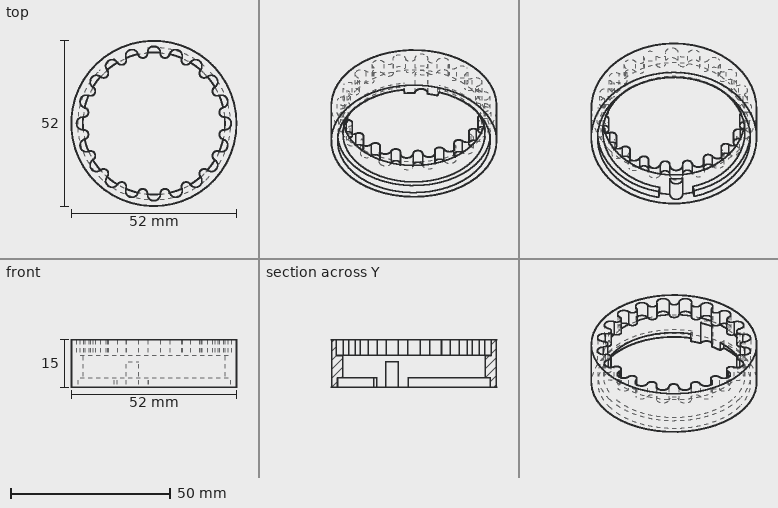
import cadquery as cq
import math

OUTER_DIAMETER = 52.0
RING_HEIGHT = 15.0

TOOTH_COUNT = 20
NOTCH_RADIUS = 2.0
TOOTH_RADIUS = 1.5
GEAR_HEIGHT = 5.0
TOOTH_PITCH = 360.0 / TOOTH_COUNT
HALF_PITCH = TOOTH_PITCH / 2
PITCH_RADIUS = (NOTCH_RADIUS + TOOTH_RADIUS) / (2 * math.sin(math.radians(HALF_PITCH / 2)))

BORE_RADIUS = PITCH_RADIUS
BORE_HEIGHT = RING_HEIGHT - GEAR_HEIGHT

RECESS_RADIUS = 24.0
RECESS_HEIGHT = 3.0

CARRY_ANGLE = 6 * TOOTH_PITCH
CARRY_HALF_SPAN = 1.5 * HALF_PITCH
CARRY_NOTCH_HEIGHT = 8.0


def polar(radius, angle):
    """Point at a radius and an angle in degrees from +X."""
    radians = math.radians(angle)
    return radius * math.cos(radians), radius * math.sin(radians)


def make_ring():
    """Outer cylinder with the plain bore through its full height."""
    return cq.Workplane("XY").circle(OUTER_DIAMETER / 2).circle(BORE_RADIUS).extrude(RING_HEIGHT)


def make_pins(radius, first_angle):
    """Round pins on the pitch circle, over the height of the gear."""
    centres = [polar(PITCH_RADIUS, first_angle + i * TOOTH_PITCH) for i in range(TOOTH_COUNT)]
    gear_base = cq.Workplane("XY", origin=(0, 0, BORE_HEIGHT))
    return gear_base.pushPoints(centres).circle(radius).extrude(GEAR_HEIGHT)


def make_recess():
    """Ring-shaped cut at the bottom, left out where the carry block stands."""
    start = CARRY_ANGLE + CARRY_HALF_SPAN
    end = CARRY_ANGLE - CARRY_HALF_SPAN
    middle = CARRY_ANGLE + 180.0
    inner_radius = PITCH_RADIUS - TOOTH_RADIUS
    return (
        cq.Workplane("XY")
        .moveTo(*polar(inner_radius, start))
        .lineTo(*polar(RECESS_RADIUS, start))
        .threePointArc(polar(RECESS_RADIUS, middle), polar(RECESS_RADIUS, end))
        .lineTo(*polar(inner_radius, end))
        .threePointArc(polar(inner_radius, middle), polar(inner_radius, start))
        .close()
        .extrude(RECESS_HEIGHT)
    )


def make_carry_notch():
    """Blind round notch in the carry block, open at the bottom."""
    centre = polar(PITCH_RADIUS, CARRY_ANGLE)
    return cq.Workplane("XY").center(*centre).circle(NOTCH_RADIUS).extrude(CARRY_NOTCH_HEIGHT)


notches = make_pins(NOTCH_RADIUS, 0.0)
teeth = make_pins(TOOTH_RADIUS, HALF_PITCH)

result = make_ring().cut(notches).union(teeth).cut(make_recess()).cut(make_carry_notch())